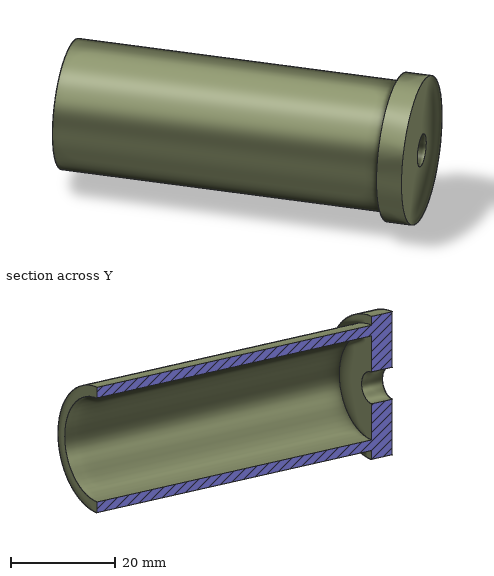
import cadquery as cq

total_length = 70.0
tube_diameter = 25.4
bore_diameter = 20.9
flange_diameter = 29.0
flange_thickness = 5.0
hole_diameter = 6.4

floor_thickness = flange_thickness
bore_depth = total_length - floor_thickness
end_x = total_length / 2


def cylinder_along_x(start_x, length, diameter):
    """Solid cylinder centred on the X axis, growing toward +X from start_x."""
    return cq.Workplane("YZ", origin=(start_x, 0, 0)).circle(diameter / 2).extrude(length)


tube = cylinder_along_x(-end_x, total_length, tube_diameter)
flange = cylinder_along_x(end_x - flange_thickness, flange_thickness, flange_diameter)
bore = cylinder_along_x(-end_x, bore_depth, bore_diameter)
through_hole = cylinder_along_x(-end_x, total_length, hole_diameter)

result = tube.union(flange).cut(bore).cut(through_hole)